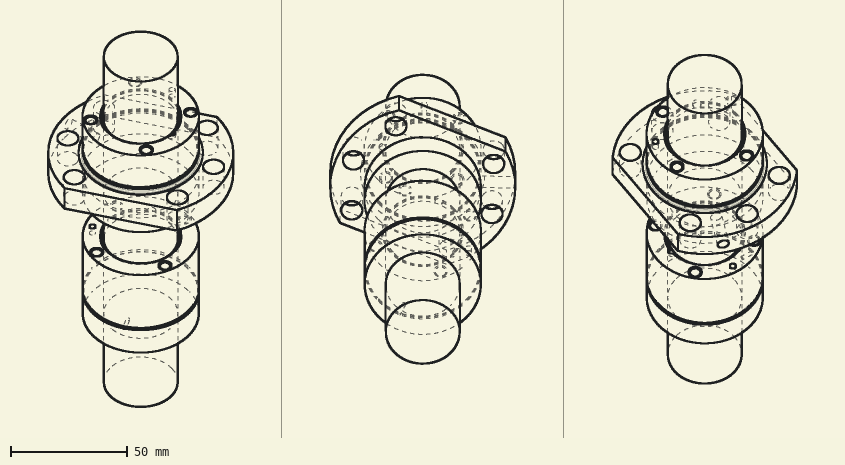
import cadquery as cq
import math

SHAFT_LENGTH = 190.0
SHAFT_RADIUS = 16.0

NUT_RADIUS = 25.0
LOWER_NUT_BOTTOM = 40.0
LOWER_NUT_TOP = 85.3
FLANGE_NUT_BOTTOM = 110.4
FLANGE_NUT_TOP = 155.2

FLANGE_RADIUS = 39.9
FLANGE_WIDTH = 62.0
FLANGE_BOTTOM = 122.0
FLANGE_TOP = 134.0
BOLT_HOLE_DIAMETER = 9.1
BOLT_CIRCLE_RADIUS = 32.7
BOLT_ANGLES = [0, 45, 135, 180, 225, 315]

SEAT_RADIUS = 26.8
SEAT_DEPTH = 0.2
COLLAR_HEIGHT = 1.5
COLLAR_FILLET = 0.5
RELIEF_RADIUS = 24.5
RELIEF_HEIGHT = 1.1

PORT_DIAMETER = 5.0
PORT_DEPTH = 15.2
PORT_ANGLE = 157.5

GROOVE_Z = 53.8
GROOVE_RADIUS = 0.5
GREASE_HOLE_DIAMETER = 1.5
GREASE_HOLE_DEPTH = 5.7
GREASE_HOLE_ANGLE = 270

COUNTERBORE_RADIUS = 17.5
COUNTERBORE_DEPTH = 0.8
BORE_CONE_RADIUS = 17.0
BORE_CONE_DEPTH = 1.1
FACE_CIRCLE_RADIUS = 21.7
SCREW_COUNT = 4
SCREW_RADIUS = 2.8
SCREW_FLOOR_RADIUS = 2.3
SCREW_DEPTH = 0.28
PIN_HOLE_RADIUS = 1.3
PIN_HOLE_DEPTH = 3.8
PIN_POINT_DEPTH = 0.8
BALL_NOTCH_RADIUS = 1.7
BALL_NOTCH_CIRCLE_RADIUS = 17.1
BALL_NOTCH_DEPTH = 1.9

SCREW_OFFSET = 45
BALL_NOTCH_OFFSET = -90
FLANGE_NUT_PIN_ANGLE = 67.5
LOWER_NUT_PIN_ANGLE = 180

DRILL_CLEARANCE = 1.9

Z_AXIS = cq.Vector(0, 0, 1)


def polar(radius, angle, z):
    """Point at a radius and an angle in degrees about the screw axis."""
    turn = math.radians(angle)
    return cq.Vector(radius * math.cos(turn), radius * math.sin(turn), z)


def cylinder(radius, bottom, top):
    """Cylinder about the screw axis between two heights."""
    return cq.Workplane("XY", origin=(0, 0, bottom)).circle(radius).extrude(top - bottom)


def face_drill(radius, depth, circle_radius, angle, top):
    """Flat-bottomed cutter going down from an end face."""
    start = polar(circle_radius, angle, top)
    return cq.Solid.makeCylinder(radius, depth, start, -Z_AXIS)


def radial_drill(diameter, depth, rim_radius, angle, z):
    """Cutter going from just outside a rim straight towards the screw axis."""
    start = polar(rim_radius + DRILL_CLEARANCE, angle, z)
    inward = polar(-1, angle, 0)
    return cq.Solid.makeCylinder(diameter / 2, depth + DRILL_CLEARANCE, start, inward)


def cut_bore(nut, bottom, top):
    """Shaft bore, with a counterbore and a lead-in cone at the top."""
    ledge = top - COUNTERBORE_DEPTH
    cutter = (
        cq.Workplane("XZ")
        .moveTo(0, bottom)
        .lineTo(SHAFT_RADIUS, bottom)
        .lineTo(SHAFT_RADIUS, ledge - BORE_CONE_DEPTH)
        .lineTo(BORE_CONE_RADIUS, ledge)
        .lineTo(COUNTERBORE_RADIUS, ledge)
        .lineTo(COUNTERBORE_RADIUS, top)
        .lineTo(0, top)
        .close()
        .revolve(360, (0, 0, 0), (0, 1, 0))
    )
    return nut.cut(cutter)


def cut_end_face(nut, top, pin_angle):
    """Tapered screw recesses, pointed pin hole and ball notch in the top face."""
    for index in range(SCREW_COUNT):
        angle = pin_angle + SCREW_OFFSET + index * 360 / SCREW_COUNT
        start = polar(FACE_CIRCLE_RADIUS, angle, top)
        recess = cq.Solid.makeCone(SCREW_RADIUS, SCREW_FLOOR_RADIUS, SCREW_DEPTH, start, -Z_AXIS)
        nut = nut.cut(recess)
    nut = nut.cut(face_drill(PIN_HOLE_RADIUS, PIN_HOLE_DEPTH, FACE_CIRCLE_RADIUS, pin_angle, top))
    pin_floor = polar(FACE_CIRCLE_RADIUS, pin_angle, top - PIN_HOLE_DEPTH)
    nut = nut.cut(cq.Solid.makeCone(PIN_HOLE_RADIUS, 0, PIN_POINT_DEPTH, pin_floor, -Z_AXIS))
    notch_angle = pin_angle + BALL_NOTCH_OFFSET
    return nut.cut(
        face_drill(BALL_NOTCH_RADIUS, BALL_NOTCH_DEPTH, BALL_NOTCH_CIRCLE_RADIUS, notch_angle, top)
    )


def make_shaft():
    return cylinder(SHAFT_RADIUS, 0, SHAFT_LENGTH)


def make_flange():
    """Plate with two flats, bolt holes and an opening as wide as the seat."""
    flats = cq.Workplane("XY").box(2 * FLANGE_RADIUS, FLANGE_WIDTH, 2 * SHAFT_LENGTH)
    flange = cylinder(FLANGE_RADIUS, FLANGE_BOTTOM, FLANGE_TOP).intersect(flats)
    bolt_centres = [polar(BOLT_CIRCLE_RADIUS, angle, 0).toTuple()[:2] for angle in BOLT_ANGLES]
    bolt_holes = (
        cq.Workplane("XY", origin=(0, 0, FLANGE_BOTTOM))
        .pushPoints(bolt_centres)
        .circle(BOLT_HOLE_DIAMETER / 2)
        .extrude(FLANGE_TOP - FLANGE_BOTTOM)
    )
    return flange.cut(bolt_holes).cut(cylinder(SEAT_RADIUS, FLANGE_BOTTOM, FLANGE_TOP))


def make_barrel():
    """Turned body of the flanged nut, including the seat floor, fillet, collar and relief."""
    seat_floor = FLANGE_TOP - SEAT_DEPTH
    collar_top = FLANGE_TOP + COLLAR_HEIGHT
    relief_top = collar_top + RELIEF_HEIGHT
    fillet_sag = COLLAR_FILLET * (1 - math.sqrt(0.5))
    return (
        cq.Workplane("XZ")
        .moveTo(0, FLANGE_NUT_BOTTOM)
        .lineTo(NUT_RADIUS, FLANGE_NUT_BOTTOM)
        .lineTo(NUT_RADIUS, FLANGE_BOTTOM)
        .lineTo(SEAT_RADIUS, FLANGE_BOTTOM)
        .lineTo(SEAT_RADIUS, seat_floor)
        .lineTo(NUT_RADIUS + COLLAR_FILLET, seat_floor)
        .threePointArc(
            (NUT_RADIUS + fillet_sag, seat_floor + fillet_sag),
            (NUT_RADIUS, seat_floor + COLLAR_FILLET),
        )
        .lineTo(NUT_RADIUS, collar_top)
        .lineTo(RELIEF_RADIUS, collar_top)
        .lineTo(RELIEF_RADIUS, relief_top)
        .lineTo(NUT_RADIUS, relief_top)
        .lineTo(NUT_RADIUS, FLANGE_NUT_TOP)
        .lineTo(0, FLANGE_NUT_TOP)
        .close()
        .revolve(360, (0, 0, 0), (0, 1, 0))
    )


def make_flange_nut():
    nut = make_barrel().union(make_flange())
    port_z = (FLANGE_BOTTOM + FLANGE_TOP) / 2
    nut = nut.cut(radial_drill(PORT_DIAMETER, PORT_DEPTH, FLANGE_RADIUS, PORT_ANGLE, port_z))
    nut = cut_bore(nut, FLANGE_NUT_BOTTOM, FLANGE_NUT_TOP)
    return cut_end_face(nut, FLANGE_NUT_TOP, FLANGE_NUT_PIN_ANGLE)


def make_lower_nut():
    nut = (
        cq.Workplane("XZ")
        .moveTo(0, LOWER_NUT_BOTTOM)
        .lineTo(NUT_RADIUS, LOWER_NUT_BOTTOM)
        .lineTo(NUT_RADIUS, GROOVE_Z - GROOVE_RADIUS)
        .threePointArc(
            (NUT_RADIUS - GROOVE_RADIUS, GROOVE_Z),
            (NUT_RADIUS, GROOVE_Z + GROOVE_RADIUS),
        )
        .lineTo(NUT_RADIUS, LOWER_NUT_TOP)
        .lineTo(0, LOWER_NUT_TOP)
        .close()
        .revolve(360, (0, 0, 0), (0, 1, 0))
    )
    nut = nut.cut(
        radial_drill(GREASE_HOLE_DIAMETER, GREASE_HOLE_DEPTH, NUT_RADIUS, GREASE_HOLE_ANGLE, GROOVE_Z)
    )
    nut = cut_bore(nut, LOWER_NUT_BOTTOM, LOWER_NUT_TOP)
    return cut_end_face(nut, LOWER_NUT_TOP, LOWER_NUT_PIN_ANGLE)


shaft = make_shaft()
flange_nut = make_flange_nut()
lower_nut = make_lower_nut()

result = cq.Compound.makeCompound([shaft.val(), flange_nut.val(), lower_nut.val()])